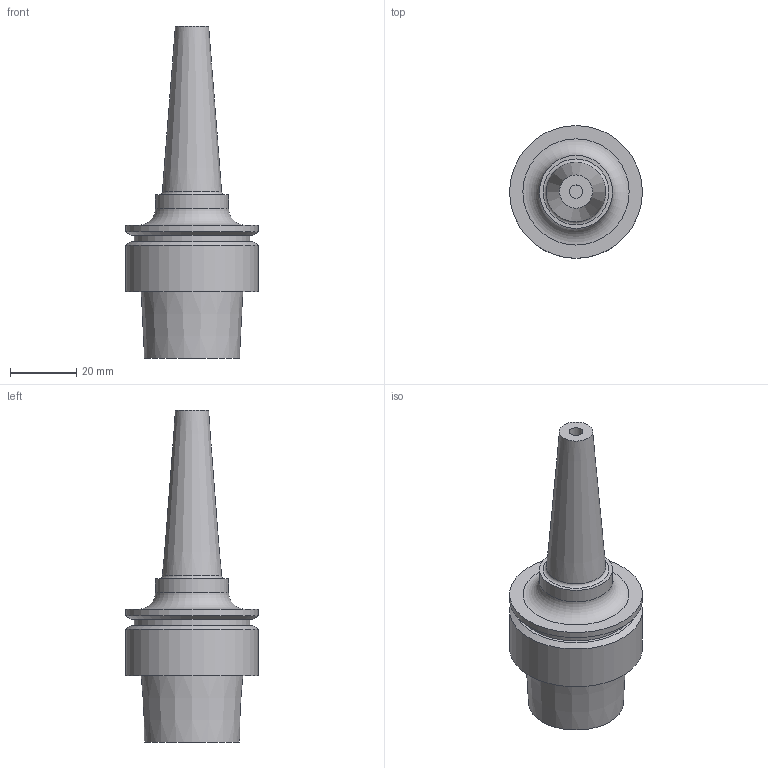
import cadquery as cq
import math

total_height = 100.0

shank_length = 20.0
shank_end_radius = 14.3
shank_taper = 0.1
shank_root_radius = shank_end_radius + shank_length * shank_taper / 2

flange_radius = 20.0
flange_height = 20.0
groove_radius = 17.4
groove_mid_height = 16.0
groove_floor_width = 1.9
groove_mouth_width = 4.2
groove_step_radius = 18.35

collar_radius = 11.0
blend_radius = 5.0
collar_top_height = 9.2

nose_tip_radius = 5.0
nose_half_angle = math.radians(4.5)
nose_fillet_radius = 1.0

bore_radius = 2.0
bore_depth = 20.0

flange_top = shank_length + flange_height
collar_top = flange_top + collar_top_height
groove_mid = shank_length + groove_mid_height


def on_arc(centre, radius, angle):
    """Point on a circle in the (radius, height) half plane."""
    return (centre[0] + radius * math.cos(angle), centre[1] + radius * math.sin(angle))


def make_body():
    """Revolve the full outer outline, from the shank end up to the nose tip."""
    blend_centre = (collar_radius + blend_radius, flange_top + blend_radius)

    fillet_height = collar_top + nose_fillet_radius
    side_radius = nose_tip_radius + (total_height - fillet_height) * math.tan(nose_half_angle)
    fillet_centre = (side_radius + nose_fillet_radius / math.cos(nose_half_angle), fillet_height)
    fillet_start = -math.pi / 2
    fillet_end = -math.pi + nose_half_angle
    fillet_middle = (fillet_start + fillet_end) / 2

    groove_floor_bottom = groove_mid - groove_floor_width / 2
    groove_floor_top = groove_mid + groove_floor_width / 2

    outline = (
        cq.Workplane("XZ")
        .moveTo(0, 0)
        .lineTo(shank_end_radius, 0)
        .lineTo(shank_root_radius, shank_length)
        .lineTo(flange_radius, shank_length)
        .lineTo(flange_radius, groove_mid - groove_mouth_width / 2)
        .lineTo(groove_step_radius, groove_floor_bottom)
        .lineTo(groove_radius, groove_floor_bottom)
        .lineTo(groove_radius, groove_floor_top)
        .lineTo(groove_step_radius, groove_floor_top)
        .lineTo(flange_radius, groove_mid + groove_mouth_width / 2)
        .lineTo(flange_radius, flange_top)
        .lineTo(blend_centre[0], flange_top)
        .threePointArc(
            on_arc(blend_centre, blend_radius, math.radians(-135)),
            (collar_radius, blend_centre[1]),
        )
        .lineTo(collar_radius, collar_top)
        .lineTo(fillet_centre[0], collar_top)
        .threePointArc(
            on_arc(fillet_centre, nose_fillet_radius, fillet_middle),
            on_arc(fillet_centre, nose_fillet_radius, fillet_end),
        )
        .lineTo(nose_tip_radius, total_height)
        .lineTo(0, total_height)
        .close()
    )
    return outline.revolve(360, (0, 0, 0), (0, 1, 0))


def make_bore():
    """Blind bore sunk from the nose tip."""
    bore_floor = total_height - bore_depth
    return cq.Workplane("XY").workplane(offset=bore_floor).circle(bore_radius).extrude(bore_depth)


result = make_body().cut(make_bore())